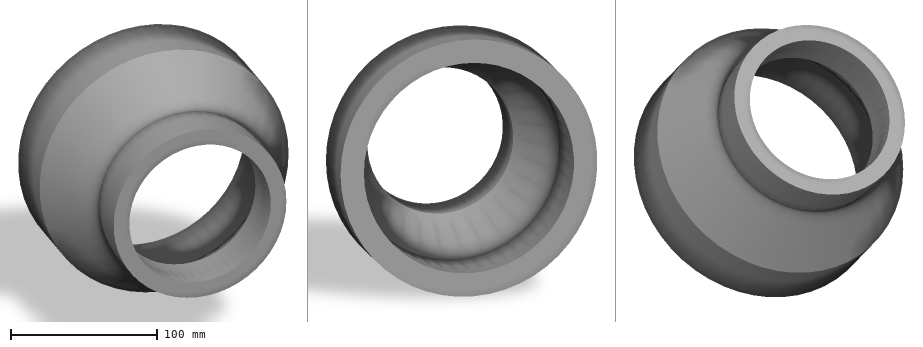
import cadquery as cq

total_length = 120.0
wide_length = 45.0
narrow_length = 32.0
wide_outer_diameter = 180.0
wide_bore_diameter = 147.2
narrow_outer_diameter = 125.0
narrow_bore_diameter = 102.2

taper_end = total_length - narrow_length


def stepped_cone(wide_diameter, narrow_diameter):
    """Solid of revolution: wide cylinder, straight taper, narrow cylinder."""
    wide_radius = wide_diameter / 2
    narrow_radius = narrow_diameter / 2
    profile = [
        (0, 0),
        (0, wide_radius),
        (wide_length, wide_radius),
        (taper_end, narrow_radius),
        (total_length, narrow_radius),
        (total_length, 0),
    ]
    return cq.Workplane("XY").polyline(profile).close().revolve(360, (0, 0, 0), (1, 0, 0))


body = stepped_cone(wide_outer_diameter, narrow_outer_diameter)
bore = stepped_cone(wide_bore_diameter, narrow_bore_diameter)
result = body.cut(bore)